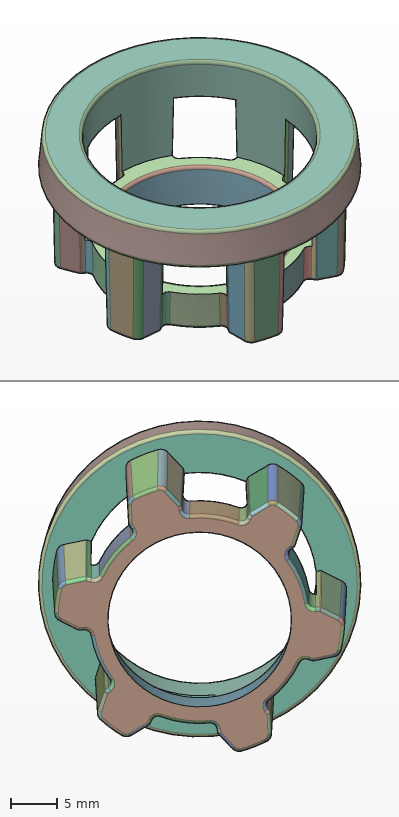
import cadquery as cq
import math

rim_radius = 17.42
total_height = 17.45
rim_height = 4.8
floor_height = 4.8
edge_round = 0.4

rim_draft = 5.0
wall_draft = 1.0

bore_radius = 12.65
floor_hole_radius = 9.9

ring_radius = 11.9
leg_outer_radius = 15.68

leg_count = 6
leg_root_radius = 11.15
leg_root_half_width = 2.95
leg_heel_radius = 12.8
leg_heel_half_width = 3.3
flank_angle = 20.0
crest_round = 1.0
heel_round = 0.2
root_round = 0.7

root_zone = (11.5, 12.55)
heel_zone = (12.55, 13.95)
crest_zone = (13.95, 17.42)

match_tolerance = 0.005

rim_bottom = total_height - rim_height


def draft_shift(height, angle):
    """Sideways travel of a wall drafted by the angle over the height."""
    return height * math.tan(math.radians(angle))


def make_cone(bottom_radius, top_radius, bottom, top):
    """Round block about the Z axis with a straight slanted side."""
    profile = [
        (0, bottom),
        (bottom_radius, bottom),
        (top_radius, top),
        (0, top),
    ]
    return cq.Workplane("XZ").polyline(profile).close().revolve(360, (0, 0), (0, 1))


def upright_edges(body, zone):
    """Edges running up the legs whose middle lies in the given zone around the axis."""
    inner, outer = zone
    upright = body.edges().filter(lambda edge: edge.BoundingBox().zlen > rim_bottom / 2)
    return upright.filter(lambda edge: inner < math.hypot(edge.Center().x, edge.Center().y) < outer)


def make_rim():
    """Solid tapered disc with rounded edges, later opened by the bore."""
    half_corner = math.radians((90 - rim_draft) / 2)
    base_radius = rim_radius + edge_round * (1 / math.tan(half_corner) - 1)
    top_radius = base_radius - draft_shift(rim_height, rim_draft)
    return make_cone(base_radius, top_radius, rim_bottom, total_height).edges().fillet(edge_round)


def make_leg():
    """Leg along +X, narrowing downwards, with rounded heels and crest corners."""
    tip_half_width = leg_heel_half_width - draft_shift(rim_radius - leg_heel_radius, flank_angle)
    left_side = [
        (leg_root_radius, leg_root_half_width),
        (leg_heel_radius, leg_heel_half_width),
        (rim_radius, tip_half_width),
    ]
    right_side = [(x, -y) for x, y in reversed(left_side)]
    wedge = (
        cq.Workplane("XY", origin=(0, 0, rim_bottom))
        .polyline(left_side + right_side)
        .close()
        .extrude(-rim_bottom, taper=wall_draft)
    )
    leg = wedge.intersect(make_drafted_post(leg_outer_radius))
    leg = upright_edges(leg, crest_zone).fillet(crest_round)
    return upright_edges(leg, heel_zone).fillet(heel_round)


def make_drafted_post(radius):
    """Round post from the bottom face to the rim, widening upwards."""
    return make_cone(radius, radius + draft_shift(rim_bottom, wall_draft), 0, rim_bottom)


def make_base():
    """Floor ring and legs as one star-shaped block reaching up to the rim."""
    base = make_drafted_post(ring_radius)
    leg = make_leg()
    for index in range(leg_count):
        base = base.union(leg.rotate((0, 0, 0), (0, 0, 1), index * 360 / leg_count))
    base = upright_edges(base, root_zone).fillet(root_round)
    return base.faces("<Z").edges().fillet(edge_round)


def round_lip(body, radius, height):
    """Round the edge of the hole that has the given radius at the given height."""
    lip = body.edges("%CIRCLE").filter(
        lambda edge: math.isclose(edge.Center().z, height, abs_tol=match_tolerance)
        and math.isclose(edge.radius(), radius, abs_tol=match_tolerance)
    )
    return lip.fillet(edge_round)


floor_hole_top_radius = floor_hole_radius + draft_shift(floor_height, rim_draft)
floor_hole = make_cone(floor_hole_radius, floor_hole_top_radius, 0, floor_height)

bore = make_cone(bore_radius, bore_radius, floor_height, total_height)

body = make_rim().union(make_base()).cut(bore).cut(floor_hole)
body = round_lip(body, bore_radius, total_height)
result = round_lip(body, floor_hole_top_radius, floor_height)